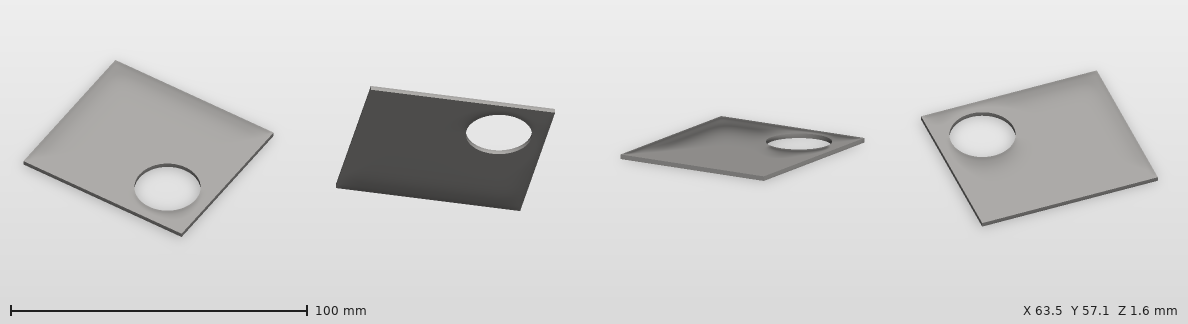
import cadquery as cq

length = 63.5
width = 57.15
thickness = 1.6

hole_diameter = 22.35
edge_margin = 4.8
hole_inset = edge_margin + hole_diameter / 2
hole_x = length / 2 - hole_inset
hole_y = -width / 2 + hole_inset

result = (
    cq.Workplane("XY")
    .box(length, width, thickness)
    .faces(">Z")
    .workplane(origin=(0, 0, 0))
    .center(hole_x, hole_y)
    .hole(hole_diameter)
)